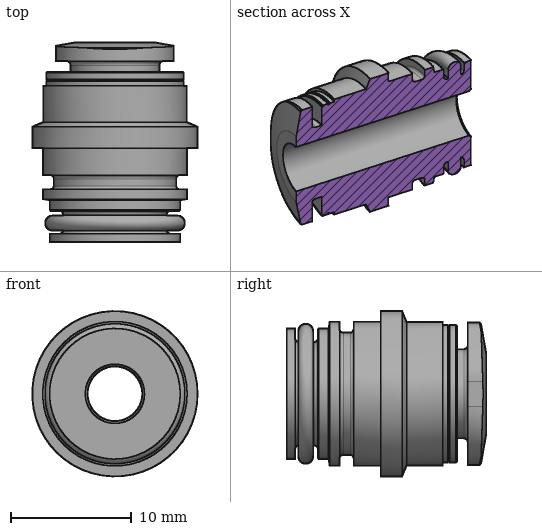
import cadquery as cq
import math

foot_dia = 10.8
seal_groove_dia = 8.6
seal_dia = 11.58
snap_groove_dia = 10.15
body_dia = 11.9
shoulder_dia = 11.95
flange_dia = 13.7
collar_dia = 11.4
neck_dia = 7.4
bore_dia = 4.5

foot_top = 0.7
land_start = 2.55
rim_start = 3.45
rim_cone_top = 3.55
rim_top = 4.37
body_start = 5.53
flange_start = 7.77
flange_top = 9.54
cone_top = 9.92
collar_start = 12.9
collar_top = 14.09
head_start = 14.97
total_length = 16.5

seal_width = 1.25
seal_center = 1.57

groove_fillet = 0.28
neck_fillet = 0.33
edge_chamfer = 0.1
bore_chamfer = 0.2
collar_groove_start = 13.3
collar_groove_width = 0.18
collar_groove_depth = 0.1

head_width = 9.75
head_height = 11.8
head_face_dia = 6.73
head_cone_angle = 10.0
head_rim_chamfer = 0.13


def revolve_about_y(profile):
    return profile.close().revolve(360, (0, 0, 0), (0, 1, 0))


def disc(diameter, start, end):
    """Cylinder along Y between two positions."""
    return cq.Workplane("XZ", origin=(0, start, 0)).circle(diameter / 2).extrude(start - end)


def collared_disc(diameter, start, end, start_fillet, end_fillet):
    """Cylinder along Y that flares out in a concave fillet at the given ends."""
    radius = diameter / 2
    flare = 1 - math.sqrt(0.5)
    profile = cq.Workplane("XY").moveTo(0, start).lineTo(radius + start_fillet, start)
    if start_fillet:
        profile = profile.threePointArc(
            (radius + start_fillet * flare, start + start_fillet * flare),
            (radius, start + start_fillet),
        )
    profile = profile.lineTo(radius, end - end_fillet)
    if end_fillet:
        profile = profile.threePointArc(
            (radius + end_fillet * flare, end - end_fillet * flare),
            (radius + end_fillet, end),
        )
    return revolve_about_y(profile.lineTo(0, end))


def seal_ring():
    """Flat-sided ring seated in its groove, with a half-round outer edge."""
    half_width = seal_width / 2
    edge_center_radius = seal_dia / 2 - half_width
    profile = (
        cq.Workplane("XY")
        .moveTo(0, seal_center - half_width)
        .lineTo(edge_center_radius, seal_center - half_width)
        .threePointArc(
            (seal_dia / 2, seal_center),
            (edge_center_radius, seal_center + half_width),
        )
        .lineTo(0, seal_center + half_width)
    )
    return revolve_about_y(profile)


def rim():
    """Disc whose front side is a shallow cone rising from the land."""
    profile = (
        cq.Workplane("XY")
        .moveTo(0, rim_start)
        .lineTo(foot_dia / 2, rim_start)
        .lineTo(shoulder_dia / 2, rim_cone_top)
        .lineTo(shoulder_dia / 2, rim_top)
        .lineTo(0, rim_top)
    )
    return revolve_about_y(profile)


def flange():
    straight = disc(flange_dia, flange_start, flange_top)
    profile = (
        cq.Workplane("XY")
        .moveTo(0, flange_top)
        .lineTo(flange_dia / 2, flange_top)
        .lineTo(body_dia / 2, cone_top)
        .lineTo(0, cone_top)
    )
    return straight.union(revolve_about_y(profile))


def collar():
    radius = collar_dia / 2
    groove_radius = radius - collar_groove_depth
    groove_end = collar_groove_start + collar_groove_width
    profile = (
        cq.Workplane("XY")
        .moveTo(0, collar_start)
        .lineTo(radius, collar_start)
        .lineTo(radius, collar_groove_start)
        .lineTo(groove_radius, collar_groove_start + collar_groove_depth)
        .lineTo(groove_radius, groove_end)
        .lineTo(radius, groove_end)
        .lineTo(radius, collar_top - edge_chamfer)
        .lineTo(radius - edge_chamfer, collar_top)
        .lineTo(0, collar_top)
    )
    return revolve_about_y(profile)


def head():
    radius = head_height / 2
    face_radius = head_face_dia / 2
    rim_radius = radius - head_rim_chamfer
    rim_drop = (rim_radius - face_radius) * math.tan(math.radians(head_cone_angle))
    rim_position = total_length - rim_drop
    profile = (
        cq.Workplane("XY")
        .moveTo(0, head_start)
        .lineTo(radius, head_start)
        .lineTo(radius, rim_position - head_rim_chamfer)
        .lineTo(rim_radius, rim_position)
        .lineTo(face_radius, total_length)
        .lineTo(0, total_length)
    )
    stadium = (
        cq.Workplane("XZ", origin=(0, head_start, 0))
        .slot2D(head_height, head_width, 90)
        .extrude(head_start - total_length)
    )
    return revolve_about_y(profile).intersect(stadium)


def bore():
    mouth = cq.Solid.makeCone(
        bore_dia / 2 + bore_chamfer, bore_dia / 2, bore_chamfer,
        pnt=cq.Vector(0, 0, 0), dir=cq.Vector(0, 1, 0),
    )
    return disc(bore_dia, 0, total_length).union(cq.Workplane(mouth))


result = disc(foot_dia, 0, foot_top)
result = result.union(
    collared_disc(seal_groove_dia, foot_top, land_start, groove_fillet, groove_fillet)
)
result = result.union(seal_ring())
result = result.union(disc(foot_dia, land_start, rim_start).faces("<Y").chamfer(edge_chamfer))
result = result.union(rim())
result = result.union(
    collared_disc(snap_groove_dia, rim_top, body_start, groove_fillet, groove_fillet)
)

result = result.union(disc(shoulder_dia, body_start, flange_start))
result = result.union(disc(body_dia, flange_start, collar_start))
result = result.union(flange())
result = result.union(collar())
result = result.union(collared_disc(neck_dia, collar_top, head_start, 0, neck_fillet))
result = result.union(head())

result = result.cut(bore())